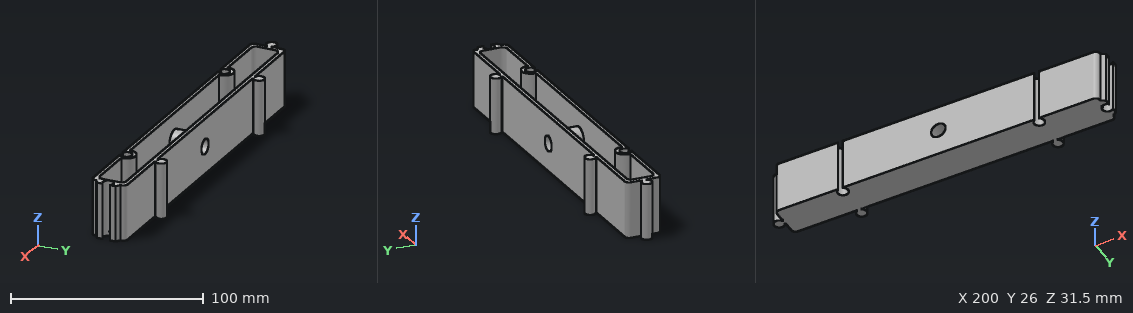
import cadquery as cq

pitch_length = 194.0
lug_length = 2.5
body_length = pitch_length - lug_length
body_width = 20.0
height = 31.5
side_wall = 2.4
end_wall = 3.0
floor = 2.4
outer_corner = 2.5
inner_corner = 2.5

joint_radius = 3.0
neck_width = 2.8
joint_offset = 3.0
end_groove_offset = 2.2
joint_spacing = 116.5
sleeve_wall = 2.2
sleeve_radius = joint_radius + sleeve_wall
lug_base_half_width = 7.0
lug_tip_half_width = 5.3

tube_diameter = 12.5
bore_diameter = 8.5

total_length = pitch_length + joint_offset + joint_radius
left_wall_x = -total_length / 2 + joint_offset + joint_radius
right_wall_x = left_wall_x + body_length
body_x = (left_wall_x + right_wall_x) / 2
lug_end_x = left_wall_x + pitch_length
tube_x = left_wall_x + pitch_length / 2
back_y = body_width / 2
front_y = -back_y
side_joint_xs = [tube_x - joint_spacing / 2, tube_x + joint_spacing / 2]


def post(x, y, radius):
    """Full-height vertical cylinder."""
    return cq.Workplane("XY").center(x, y).circle(radius).extrude(height)


def joint(x, y, wall_x, wall_y):
    """Full-height round pin at (x, y) with a straight neck reaching the wall at (wall_x, wall_y)."""
    neck_length = abs(wall_x - x) + abs(wall_y - y)
    along_x = wall_y == y
    neck = (
        cq.Workplane("XY")
        .center((x + wall_x) / 2, (y + wall_y) / 2)
        .rect(neck_length if along_x else neck_width, neck_width if along_x else neck_length)
        .extrude(height)
    )
    return post(x, y, joint_radius).union(neck)


def rounded_block(length, width, corner, bottom):
    """Block from the bottom level to the rim, with rounded vertical edges."""
    return (
        cq.Workplane("XY", origin=(body_x, 0, bottom))
        .rect(length, width)
        .extrude(height - bottom)
        .edges("|Z")
        .fillet(corner)
    )


def crosswise_cylinder(diameter):
    """Cylinder along Y at mid height, from the front face to the back face."""
    return (
        cq.Workplane("XZ", origin=(tube_x, back_y, height / 2))
        .circle(diameter / 2)
        .extrude(body_width)
    )


def tapered_lugs():
    """Block on the right end, narrowing outward; the end groove splits it into two lugs."""
    root_x = right_wall_x - end_wall / 2
    outline = [
        (root_x, -lug_base_half_width),
        (right_wall_x, -lug_base_half_width),
        (lug_end_x, -lug_tip_half_width),
        (lug_end_x, lug_tip_half_width),
        (right_wall_x, lug_base_half_width),
        (root_x, lug_base_half_width),
    ]
    return cq.Workplane("XY").polyline(outline).close().extrude(height)


outer = rounded_block(body_length, body_width, outer_corner, 0)
cavity = rounded_block(body_length - 2 * end_wall, body_width - 2 * side_wall, inner_corner, floor)
result = outer.cut(cavity).union(tapered_lugs()).union(crosswise_cylinder(tube_diameter))

for joint_x in side_joint_xs:
    groove_y = front_y + joint_offset
    sleeve = post(joint_x, groove_y, sleeve_radius).intersect(outer)
    result = result.union(sleeve)
    result = result.cut(joint(joint_x, groove_y, joint_x, front_y))
    result = result.union(joint(joint_x, back_y + joint_offset, joint_x, back_y))

result = result.union(joint(left_wall_x - joint_offset, 0, left_wall_x, 0))
result = result.cut(post(lug_end_x - end_groove_offset, 0, joint_radius))
result = result.cut(crosswise_cylinder(bore_diameter))